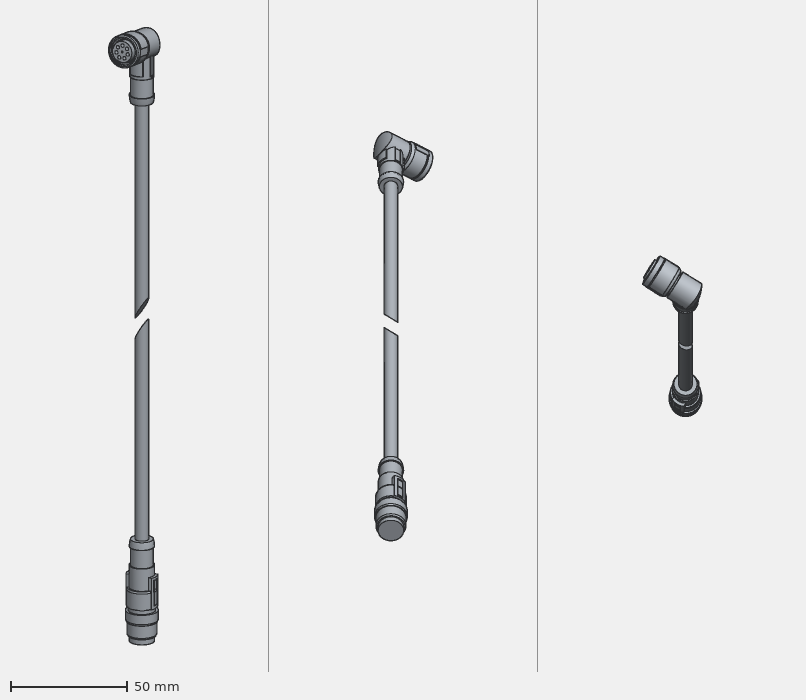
import cadquery as cq
import math

TOTAL_HEIGHT = 283.0

CABLE_DIAMETER = 6.0
CUT_RISE = 10.0
LOWER_CUT_MID = 143.0
UPPER_CUT_MID = 152.5
CABLE_OVERLAP = 1.5

RELIEF_DIAMETER = 10.0
RELIEF_LENGTH = 8.5
RIM_DIAMETER = 11.0
RIM_LENGTH = 3.5
RELIEF_TOTAL = RELIEF_LENGTH + RIM_LENGTH

NOSE_DIAMETER = 11.0
NOSE_TOP = 2.5
SLEEVE_DIAMETER = 13.0
SLEEVE_EDGE_DIAMETER = 12.2
SLEEVE_BOTTOM = 3.5
COLLAR_DIAMETER = 14.2
COLLAR_EDGE_DIAMETER = 13.5
COLLAR_BOTTOM = 9.0
COLLAR_CHAMFER_TOP = 10.0
COLLAR_TOP = 14.2
NECK_DIAMETER = 12.0
BODY_BOTTOM = 16.0
BODY_DIAMETER = 13.3
BODY_TOP_DIAMETER = 12.7
BODY_TAPER_BOTTOM = 23.8
BODY_TOP = 24.5
GRIP_DIAMETER = 11.0
GRIP_TOP = 34.8

PAD_DIAMETER = 14.0
PAD_WIDTH = 6.0
PAD_TOP = 30.5
PAD_POCKET_WIDTH = 2.8
PAD_POCKET_MARGIN = 1.5
PAD_POCKET_DEPTH = 0.5

STEM_BOTTOM = 259.0
STEM_DIAMETER = 10.5
STEM_PAD_BOTTOM = 260.7
STEM_PAD_DIAMETER = 11.5
STEM_PAD_WIDTH = 6.0
STEM_SLOT_BOTTOM = 259.8
STEM_SLOT_WIDTH = 2.8
STEM_SLOT_SPAN = 9.3

ARM_TILT = 8.0
HEAD_DIAMETER = 13.0
HEAD_BACK = 6.0
HEAD_BACK_RADIUS = 14.2
HEAD_START = -8.5
HEAD_FRONT = 5.5
GAP_DIAMETER = 9.3
NUT_START = 6.2
NUT_DIAMETER = 14.5
NUT_REAR_DIAMETER = 13.0
NUT_TAPER_END = 7.5
NUT_END = 17.5
NUT_FACE_DIAMETER = 13.0
NUT_FACE_CHAMFER = 0.3
NUT_MOUTH_DIAMETER = 12.0
NUT_MOUTH_DEPTH = 1.0
NUT_BORE_DIAMETER = 10.5
NUT_BORE_DEPTH = 4.2
NUT_GROOVE_START = 14.5
NUT_GROOVE_WIDTH = 0.5
NUT_GROOVE_DIAMETER = 14.0
NUT_PAD_START = 8.2
NUT_PAD_END = 15.3
NUT_PAD_WIDTH = 3.5

TILT = math.radians(ARM_TILT)
NUT_CORNER_RISE = (NUT_END - NUT_FACE_CHAMFER) * math.sin(TILT) + NUT_DIAMETER / 2 * math.cos(TILT)
ARM_HEIGHT = TOTAL_HEIGHT - NUT_CORNER_RISE

INSERT_DIAMETER = 9.3
INSERT_END = 18.5
CENTRE_CONTACT_DIAMETER = 0.8
CONTACT_DIAMETER = 1.5
CONTACT_DEPTH = 4.2
CONTACT_CIRCLE_RADIUS = 2.8
CONTACT_COUNT = 7
FIRST_CONTACT_ANGLE = 90


def turned(profile):
    """Solid of revolution about Z from (diameter, height) points, bottom to top."""
    points = [(diameter / 2, height) for diameter, height in profile]
    closed = [(0, profile[0][1])] + points + [(0, profile[-1][1])]
    return cq.Workplane("XZ").polyline(closed).close().revolve(360, (0, 0, 0), (0, 1, 0))


def block(x_size, y_size, z_low, z_high):
    """Box centred on the Z axis between two heights."""
    box = cq.Workplane("XY").box(x_size, y_size, z_high - z_low, centered=(True, True, False))
    return box.translate((0, 0, z_low))


def cable(low_mid, low_rise, high_mid, high_rise):
    """Round cable between two heights on its axis; each end rises by a given amount from -X to +X."""
    side = CABLE_DIAMETER
    outline = [
        (-side, low_mid - low_rise),
        (side, low_mid + low_rise),
        (side, high_mid + high_rise),
        (-side, high_mid - high_rise),
    ]
    slab = cq.Workplane("XZ").polyline(outline).close().extrude(side, both=True)
    return slab.intersect(turned([(CABLE_DIAMETER, 0), (CABLE_DIAMETER, TOTAL_HEIGHT)]))


def strain_relief():
    """Relief sleeve from height 0, ending in a rim that curves inward."""
    relief_radius = RELIEF_DIAMETER / 2
    rim_radius = RIM_DIAMETER / 2
    step = rim_radius - relief_radius
    curve_radius = (step**2 + RIM_LENGTH**2) / (2 * step)
    profile = (
        cq.Workplane("XZ")
        .lineTo(relief_radius, 0)
        .lineTo(relief_radius, RELIEF_LENGTH)
        .lineTo(rim_radius, RELIEF_LENGTH)
        .radiusArc((relief_radius, RELIEF_TOTAL), -curve_radius)
        .lineTo(0, RELIEF_TOTAL)
        .close()
    )
    return profile.revolve(360, (0, 0, 0), (0, 1, 0))


def straight_housing():
    """Turned body of the straight connector, up to the strain relief."""
    return turned([
        (NOSE_DIAMETER, 0),
        (NOSE_DIAMETER, NOSE_TOP),
        (SLEEVE_EDGE_DIAMETER, NOSE_TOP),
        (SLEEVE_DIAMETER, SLEEVE_BOTTOM),
        (SLEEVE_DIAMETER, COLLAR_BOTTOM),
        (COLLAR_EDGE_DIAMETER, COLLAR_BOTTOM),
        (COLLAR_DIAMETER, COLLAR_CHAMFER_TOP),
        (COLLAR_DIAMETER, COLLAR_TOP),
        (NECK_DIAMETER, COLLAR_TOP),
        (NECK_DIAMETER, BODY_BOTTOM),
        (BODY_DIAMETER, BODY_BOTTOM),
        (BODY_DIAMETER, BODY_TAPER_BOTTOM),
        (BODY_TOP_DIAMETER, BODY_TOP),
        (GRIP_DIAMETER, BODY_TOP),
        (GRIP_DIAMETER, GRIP_TOP),
    ])


def grip_pads():
    """Bar through the body whose rounded ends are the side pads, each with a shallow pocket."""
    envelope = turned([(PAD_DIAMETER, BODY_BOTTOM), (PAD_DIAMETER, PAD_TOP)])
    pads = envelope.intersect(block(PAD_DIAMETER, PAD_WIDTH, BODY_BOTTOM, PAD_TOP))
    pocket_low = BODY_BOTTOM + PAD_POCKET_MARGIN
    pocket_high = PAD_TOP - PAD_POCKET_MARGIN
    for side in (-1, 1):
        pocket = block(2 * PAD_POCKET_DEPTH, PAD_POCKET_WIDTH, pocket_low, pocket_high)
        pads = pads.cut(pocket.translate((side * PAD_DIAMETER / 2, 0, 0)))
    return pads


def make_straight_half():
    """Straight connector with the lower length of cable."""
    relief = strain_relief().translate((0, 0, GRIP_TOP))
    cable_start = GRIP_TOP + RELIEF_TOTAL - CABLE_OVERLAP
    lower_cable = cable(cable_start, 0, LOWER_CUT_MID, CUT_RISE)
    return straight_housing().union(relief).union(grip_pads()).union(lower_cable)


def stem():
    """Vertical neck with rounded pads front and back and a flat-floored slot on each side."""
    core = turned([(STEM_DIAMETER, STEM_BOTTOM), (STEM_DIAMETER, ARM_HEIGHT)])
    envelope = turned([(STEM_PAD_DIAMETER, STEM_PAD_BOTTOM), (STEM_PAD_DIAMETER, ARM_HEIGHT)])
    pads = envelope.intersect(block(STEM_PAD_WIDTH, STEM_PAD_DIAMETER, STEM_PAD_BOTTOM, ARM_HEIGHT))
    across = block(STEM_DIAMETER, STEM_SLOT_WIDTH, STEM_SLOT_BOTTOM, ARM_HEIGHT)
    between_floors = block(STEM_SLOT_SPAN, STEM_SLOT_WIDTH, STEM_SLOT_BOTTOM, ARM_HEIGHT)
    slots = across.cut(between_floors)
    return core.union(pads).cut(slots)


def nut_pads():
    """Bar across the nut whose ends are its two side pads."""
    return block(NUT_DIAMETER, NUT_PAD_WIDTH, NUT_PAD_START, NUT_PAD_END)


def contact_holes():
    """One central contact hole and a ring of holes around it."""
    ring = cq.Workplane("XY").polarArray(CONTACT_CIRCLE_RADIUS, FIRST_CONTACT_ANGLE, 360, CONTACT_COUNT)
    ring = ring.circle(CONTACT_DIAMETER / 2).extrude(CONTACT_DEPTH)
    centre = cq.Workplane("XY").circle(CENTRE_CONTACT_DIAMETER / 2).extrude(CONTACT_DEPTH)
    return ring.union(centre).translate((0, 0, INSERT_END - CONTACT_DEPTH))


def trim_back(body):
    """Keep what lies inside the upright cylinder that forms the back face of the head."""
    width = 2 * HEAD_BACK_RADIUS
    boundary = turned([(width, STEM_BOTTOM), (width, TOTAL_HEIGHT + NUT_DIAMETER)])
    return body.intersect(boundary.translate((0, HEAD_BACK - HEAD_BACK_RADIUS, 0)))


def arm():
    """Head, coupling nut and socket insert, turned about Z and then laid along the tilted arm axis."""
    groove_end = NUT_GROOVE_START + NUT_GROOVE_WIDTH
    bore_floor = NUT_END - NUT_BORE_DEPTH
    body = turned([
        (HEAD_DIAMETER, HEAD_START),
        (HEAD_DIAMETER, HEAD_FRONT),
        (GAP_DIAMETER, HEAD_FRONT),
        (GAP_DIAMETER, NUT_START),
        (NUT_REAR_DIAMETER, NUT_START),
        (NUT_DIAMETER, NUT_TAPER_END),
        (NUT_DIAMETER, NUT_GROOVE_START),
        (NUT_GROOVE_DIAMETER, NUT_GROOVE_START),
        (NUT_GROOVE_DIAMETER, groove_end),
        (NUT_DIAMETER, groove_end),
        (NUT_DIAMETER, NUT_END - NUT_FACE_CHAMFER),
        (NUT_FACE_DIAMETER, NUT_END),
    ])
    mouth_floor = NUT_END - NUT_MOUTH_DEPTH
    bore = turned([
        (NUT_BORE_DIAMETER, bore_floor),
        (NUT_BORE_DIAMETER, mouth_floor),
        (NUT_MOUTH_DIAMETER, mouth_floor),
        (NUT_MOUTH_DIAMETER, NUT_END),
    ])
    insert = turned([(INSERT_DIAMETER, bore_floor), (INSERT_DIAMETER, INSERT_END)])
    upright = body.union(nut_pads()).cut(bore).union(insert).cut(contact_holes())
    laid = upright.rotate((0, 0, 0), (1, 0, 0), 90 - ARM_TILT)
    return trim_back(laid.translate((0, 0, ARM_HEIGHT)))


def make_angled_half():
    """Angled connector with the upper length of cable."""
    relief = strain_relief().rotate((0, 0, 0), (1, 0, 0), 180).translate((0, 0, STEM_BOTTOM))
    cable_end = STEM_BOTTOM - RELIEF_TOTAL + CABLE_OVERLAP
    upper_cable = cable(UPPER_CUT_MID, CUT_RISE, cable_end, 0)
    return arm().union(stem()).union(relief).union(upper_cable)


straight_half = make_straight_half()
angled_half = make_angled_half()
result = cq.Compound.makeCompound([straight_half.val(), angled_half.val()])